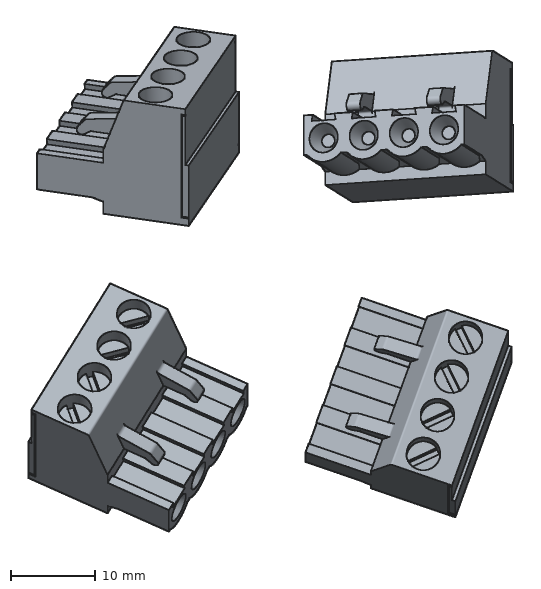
import cadquery as cq
import math

pole_count = 4
pitch = 5.0
width = pole_count * pitch
length = 18.85
height = 15.5

nose_length = 8.22
nose_top = 6.8
web_bottom = 2.0
web_ramp_start = 6.8
web_ramp_bottom = 1.6
barrel_radius = 2.88
barrel_z = 3.9

socket_mouth_diameter = 3.55
socket_end_diameter = 1.6
socket_depth = 1.8

keyway_depth = 0.75
keyway_top_width = 2.72
keyway_bottom_width = 3.0

slope_bottom = 8.55
slope_angle = 20.0
slope_top_radius = 0.3
back_step_depth = 0.42
back_step_z = 8.05

well_diameter = 4.0
well_depth = 2.0
well_x = 13.95
slot_width = 0.85
slot_depth = 1.0
slot_turn = 45.0

latch_width = 1.7
latch_spacing = 2 * pitch
latch_tip_x = 4.22
latch_tip_z = 8.52
latch_tip_radius = 0.6
latch_flank_angle = 50.0
latch_flank_length = 1.48
latch_under_angle = 32.5
latch_top_angle = 9.5
latch_knee_radius = 0.6
latch_root_radius = 0.5
latch_wall_radius = 0.25
latch_pad_margin = 0.6
latch_pad_depth = 4.0

seam_width = 0.12
seam_depth = 0.1
seam_x = 17.9
seam_bottom = 0.98
seam_top = 14.68

slope_run = math.tan(math.radians(slope_angle))
slope_top_x = nose_length + (height - slope_bottom) * slope_run
pole_positions = [(i - (pole_count - 1) / 2) * pitch for i in range(pole_count)]


def side_plate(points, plate_width, y=0.0):
    """Extrude an X-Z outline symmetrically about the plane at the given Y."""
    plane = cq.Workplane("XZ", origin=(0, y, 0))
    return plane.polyline(points).close().extrude(plate_width / 2, both=True)


def make_housing():
    back_x = length - back_step_depth
    housing = side_plate(
        [
            (nose_length, 0),
            (length, 0),
            (length, back_step_z),
            (back_x, back_step_z),
            (back_x, height),
            (slope_top_x, height),
            (nose_length, slope_bottom),
        ],
        width,
    )
    top_edge = cq.selectors.NearestToPointSelector((slope_top_x, 0, height))
    return housing.edges(top_edge).fillet(slope_top_radius)


def make_nose():
    """Web with a ramped underside, carried by one round barrel per pole."""
    nose = side_plate(
        [
            (0, nose_top),
            (0, web_bottom),
            (web_ramp_start, web_bottom),
            (nose_length, web_ramp_bottom),
            (nose_length, nose_top),
        ],
        width,
    )
    for y in pole_positions:
        barrel = cq.Workplane("YZ").center(y, barrel_z).circle(barrel_radius).extrude(nose_length)
        nose = nose.union(barrel)
    envelope = cq.Workplane("XY").box(nose_length, width, nose_top, centered=(False, True, False))
    return nose.intersect(envelope)


def make_keyway(y):
    floor = nose_top - keyway_depth
    half_top = keyway_top_width / 2
    half_bottom = keyway_bottom_width / 2
    outline = [
        (y - half_bottom, floor),
        (y + half_bottom, floor),
        (y + half_top, nose_top),
        (y - half_top, nose_top),
    ]
    return cq.Workplane("YZ").polyline(outline).close().extrude(nose_length)


def make_socket(y):
    cone = cq.Solid.makeCone(
        socket_mouth_diameter / 2,
        socket_end_diameter / 2,
        socket_depth,
        pnt=cq.Vector(0, y, barrel_z),
        dir=cq.Vector(1, 0, 0),
    )
    return cq.Workplane("XY").add(cone)


def make_screw_well(y):
    """Round well with a straight driver slot in its floor, mirrored about the middle of the row."""
    well = cq.Workplane("XY", origin=(well_x, y, height)).circle(well_diameter / 2)
    well = well.extrude(-well_depth)
    slot_angle = math.copysign(slot_turn, -y)
    floor = cq.Workplane("XY", origin=(well_x, y, height - well_depth))
    slot = floor.transformed(rotate=(0, 0, slot_angle)).rect(well_diameter, slot_width)
    slot = slot.extrude(-slot_depth)
    slot = slot.intersect(floor.circle(well_diameter / 2).extrude(-slot_depth))
    return well.union(slot)


def make_latch(y):
    """Hooked finger with a root pad that lies inside the housing, rounded where it meets the wall."""
    flank = math.radians(latch_flank_angle)
    under = math.radians(latch_under_angle)
    top_run = math.tan(math.radians(latch_top_angle))

    def tip_point(angle):
        x = latch_tip_x + latch_tip_radius * math.cos(angle)
        z = latch_tip_z + latch_tip_radius * math.sin(angle)
        return x, z

    tip_upper = tip_point(flank + math.pi / 2)
    tip_middle = tip_point((flank + under) / 2 + math.pi)
    tip_lower = tip_point(under - math.pi / 2)
    knee_x = tip_upper[0] + latch_flank_length * math.cos(flank)
    knee_z = tip_upper[1] + latch_flank_length * math.sin(flank)
    heel_x = tip_lower[0] + (slope_bottom - tip_lower[1]) / math.tan(under)

    knee_gap = nose_length + (knee_z - slope_bottom) * slope_run - knee_x
    root_x = knee_x + knee_gap / (1 - top_run * slope_run)
    root_z = knee_z + (root_x - knee_x) * top_run

    outline = (
        cq.Workplane("XZ", origin=(0, y, 0))
        .moveTo(*tip_lower)
        .threePointArc(tip_middle, tip_upper)
        .lineTo(knee_x, knee_z)
        .lineTo(root_x, root_z)
        .lineTo(root_x + latch_pad_margin * slope_run, root_z + latch_pad_margin)
        .lineTo(nose_length + latch_pad_depth, root_z + latch_pad_margin)
        .lineTo(nose_length + latch_pad_depth, slope_bottom - latch_pad_margin)
        .lineTo(nose_length, slope_bottom - latch_pad_margin)
        .lineTo(nose_length, slope_bottom)
        .lineTo(heel_x, slope_bottom)
        .close()
    )
    latch = outline.extrude(latch_width / 2, both=True)
    roundings = [
        (knee_x, knee_z, latch_knee_radius),
        (root_x, root_z, latch_root_radius),
        (nose_length, slope_bottom, latch_wall_radius),
    ]
    for x, z, radius in roundings:
        corner = cq.selectors.NearestToPointSelector((x, y, z))
        latch = latch.edges("|Y").edges(corner).fillet(radius)
    return latch


def make_seam(side):
    """U-shaped groove in one side face, open towards the wire-entry face."""
    outer = side_plate(
        [(seam_x, seam_bottom), (length, seam_bottom), (length, seam_top), (seam_x, seam_top)],
        2 * seam_depth,
        side * width / 2,
    )
    cover_x = seam_x + seam_width
    cover_bottom = seam_bottom + seam_width
    cover_top = seam_top - seam_width
    cover = side_plate(
        [(cover_x, cover_bottom), (length, cover_bottom), (length, cover_top), (cover_x, cover_top)],
        2 * seam_depth,
        side * width / 2,
    )
    return outer.cut(cover)


body = make_housing().union(make_nose())
for pole_y in pole_positions:
    body = body.cut(make_keyway(pole_y))
    body = body.cut(make_socket(pole_y))

for latch_y in (-latch_spacing / 2, latch_spacing / 2):
    body = body.union(make_latch(latch_y))

for pole_y in pole_positions:
    body = body.cut(make_screw_well(pole_y))

for side in (-1, 1):
    body = body.cut(make_seam(side))

result = body